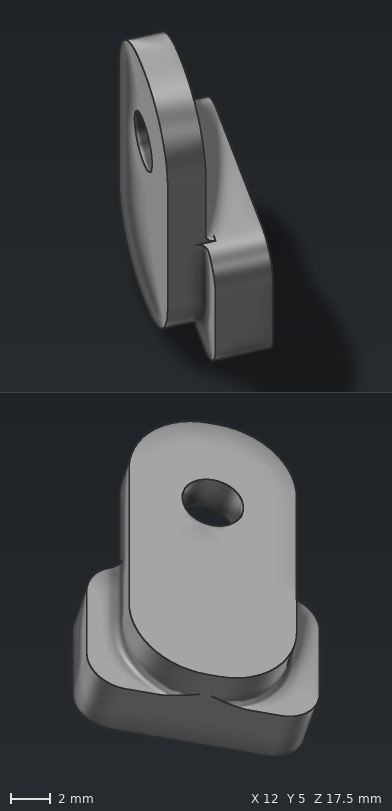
import cadquery as cq
import math

height = 17.5
depth = 5.0

plate_width = 8.65
plate_thickness = 2.0
top_radius = 4.08
bottom_radius = 4.0
hole_diameter = 3.15
hole_height = 12.0

block_width = 12.0
block_height = 8.4
block_depth = depth - plate_thickness
block_corner_radius = 2.0

blend_radius = 0.5
overlap = 0.18
selection_margin = 0.02



def prism(width, tall, lower_radius, upper_radius, y_start, y_end):
    """Rounded upright rectangle standing on Z = 0, spanning y_start to y_end."""
    return (
        cq.Workplane("XY")
        .box(width, y_end - y_start, tall, centered=(True, False, False))
        .translate((0, y_start, 0))
        .edges("|Y and <Z").fillet(lower_radius)
        .edges("|Y and >Z").fillet(upper_radius)
    )


def make_plate():
    return prism(plate_width, height, bottom_radius, top_radius, -plate_thickness, 0)


def make_block(y_start, y_end):
    return prism(block_width, block_height, block_corner_radius, block_corner_radius, y_start, y_end)


def front_blend(plate):
    """Blend around the plate outline, trimmed to the outline of the block."""
    backing = cq.Workplane("XY").box(2 * height, block_depth, 4 * height).translate((0, block_depth / 2, 0))
    blended = (
        backing.union(plate)
        .edges(cq.selectors.BoxSelector(
            (-plate_width, -selection_margin, -selection_margin),
            (plate_width, selection_margin, height + selection_margin)))
        .fillet(blend_radius)
    )
    return blended.intersect(make_block(-plate_thickness, block_depth))


def top_blend():
    """Blend between the top of the block and the rear face of the plate."""
    arc_offset = blend_radius * (1 - math.sqrt(0.5))
    return (
        cq.Workplane("YZ")
        .moveTo(0, block_height - overlap)
        .lineTo(blend_radius, block_height - overlap)
        .lineTo(blend_radius, block_height)
        .threePointArc((arc_offset, block_height + arc_offset), (0, block_height + blend_radius))
        .close()
        .extrude(plate_width / 2, both=True)
    )


plate = make_plate()
hole = (
    cq.Workplane("XZ")
    .center(0, hole_height)
    .circle(hole_diameter / 2)
    .extrude(plate_thickness)
)
result = plate.union(front_blend(plate)).union(top_blend()).cut(hole)